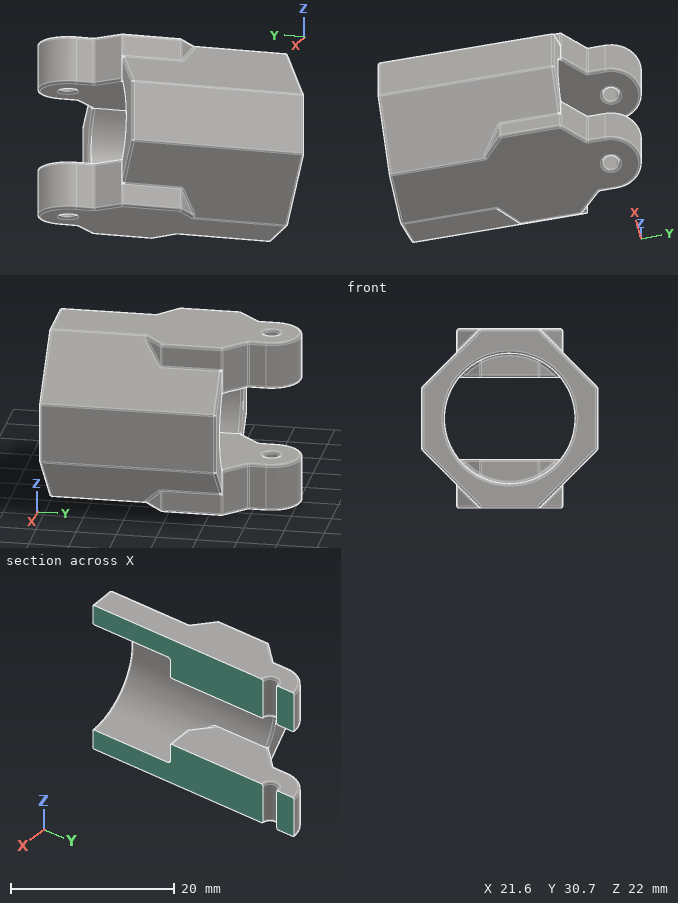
import cadquery as cq

BODY_WIDTH = 21.6
BODY_HEIGHT = 22.0
BODY_LENGTH = 22.0
CORNER_CUT = 7.2
BORE_RADIUS = 8.0
HALF_WIDTH = BODY_WIDTH / 2
HALF_HEIGHT = BODY_HEIGHT / 2
FLAT_HALF_WIDTH = HALF_WIDTH - CORNER_CUT

LUG_THICKNESS = 6.0
LUG_HALF_WIDTH = 6.5
LUG_FRONT = 11.8
SHOULDER_END = 14.4
EAR_RADIUS = 3.72
PIN_RADIUS = 1.0
PIN_Y = 27.0
EAR_START = BODY_LENGTH + LUG_HALF_WIDTH - EAR_RADIUS
LUG_INNER_Z = HALF_HEIGHT - LUG_THICKNESS

EDGE_RADIUS = 0.3
NEAR = 0.1
ALIGNED = 0.9


def round_edges(body, is_wanted):
    """Round those edges of the body that satisfy the given test."""
    wanted = [edge for edge in body.edges().vals() if is_wanted(edge)]
    return body.newObject(wanted).fillet(EDGE_RADIUS)


def mirrored_pair(upper):
    """The upper piece together with its mirror image below the axis."""
    return upper.union(upper.mirror("XY"))


def make_block():
    """Sharp octagonal prism with 45 degree corners, not yet bored."""
    return (
        cq.Workplane("XY")
        .box(BODY_WIDTH, BODY_LENGTH, BODY_HEIGHT)
        .translate((0, BODY_LENGTH / 2, 0))
        .edges("|Y")
        .chamfer(CORNER_CUT)
    )


def make_plate():
    """Upper lug plate: front shoulders, straight sides and round ear, with rounded upright corners."""
    plate = (
        cq.Workplane("XY")
        .workplane(offset=LUG_INNER_Z)
        .moveTo(-FLAT_HALF_WIDTH, LUG_FRONT)
        .lineTo(FLAT_HALF_WIDTH, LUG_FRONT)
        .lineTo(LUG_HALF_WIDTH, SHOULDER_END)
        .lineTo(LUG_HALF_WIDTH, BODY_LENGTH)
        .lineTo(EAR_RADIUS, EAR_START)
        .lineTo(EAR_RADIUS, PIN_Y)
        .threePointArc((0, PIN_Y + EAR_RADIUS), (-EAR_RADIUS, PIN_Y))
        .lineTo(-EAR_RADIUS, EAR_START)
        .lineTo(-LUG_HALF_WIDTH, BODY_LENGTH)
        .lineTo(-LUG_HALF_WIDTH, SHOULDER_END)
        .close()
        .extrude(LUG_THICKNESS)
    )

    def is_upright_corner(edge):
        upright = abs(edge.tangentAt().z) > ALIGNED
        return upright and edge.Center().y < PIN_Y - NEAR

    return round_edges(plate, is_upright_corner)


def make_lug():
    """Upper lug with its pin hole and rounded rims."""
    pin_hole = cq.Workplane("XY").center(0, PIN_Y).circle(PIN_RADIUS).extrude(BODY_HEIGHT)
    return make_plate().cut(pin_hole).faces("|Z").edges().fillet(EDGE_RADIUS)


def make_bore():
    """Space inside the sleeve: a round bore, narrowed by the inner ends of both lugs."""
    bore = cq.Workplane("XZ").circle(BORE_RADIUS).extrude(-BODY_LENGTH)
    bore = bore.cut(mirrored_pair(make_plate()))

    def is_lug_border(edge):
        middle = edge.Center()
        upright = abs(edge.tangentAt().z) > ALIGNED
        on_front_end = LUG_FRONT - NEAR < middle.y < SHOULDER_END
        return on_front_end and not upright

    return round_edges(bore, is_lug_border)


def is_lug_root(edge):
    """True where a lug side or shoulder rises from a sloped face of the octagon."""
    middle = edge.Center()
    on_slope = abs(abs(middle.x) + abs(middle.z) - HALF_HEIGHT - FLAT_HALF_WIDTH) < NEAR
    beside_flat = FLAT_HALF_WIDTH + NEAR < abs(middle.x) < LUG_HALF_WIDTH + NEAR
    beside_lug = LUG_FRONT + NEAR < middle.y < BODY_LENGTH - NEAR
    return on_slope and beside_flat and beside_lug


def is_front_or_corner(edge):
    """True for the front outline of the octagon and its eight long corners."""
    middle = edge.Center()
    on_front = middle.y < NEAR
    lengthwise = abs(edge.tangentAt().y) > ALIGNED
    on_side = abs(middle.x) > HALF_WIDTH - NEAR
    on_flat_border = abs(abs(middle.x) - FLAT_HALF_WIDTH) < NEAR and middle.y < LUG_FRONT
    return on_front or (lengthwise and (on_side or on_flat_border))


def is_bore_rim(edge):
    """True for the front rim of the bore and its rear rim between the lugs."""
    middle = edge.Center()
    at_end = middle.y < NEAR or abs(middle.y - BODY_LENGTH) < NEAR
    on_bore = edge.geomType() == "CIRCLE" and abs(edge.radius() - BORE_RADIUS) < NEAR
    return at_end and on_bore


lugs = mirrored_pair(make_lug())
block = make_block()

rear_trim = block.cut(block.faces(">Y").edges().fillet(EDGE_RADIUS)).cut(lugs)

result = round_edges(block.union(lugs), is_lug_root)
result = round_edges(result, is_front_or_corner)
result = result.cut(rear_trim).cut(make_bore())
result = round_edges(result, is_bore_rim)